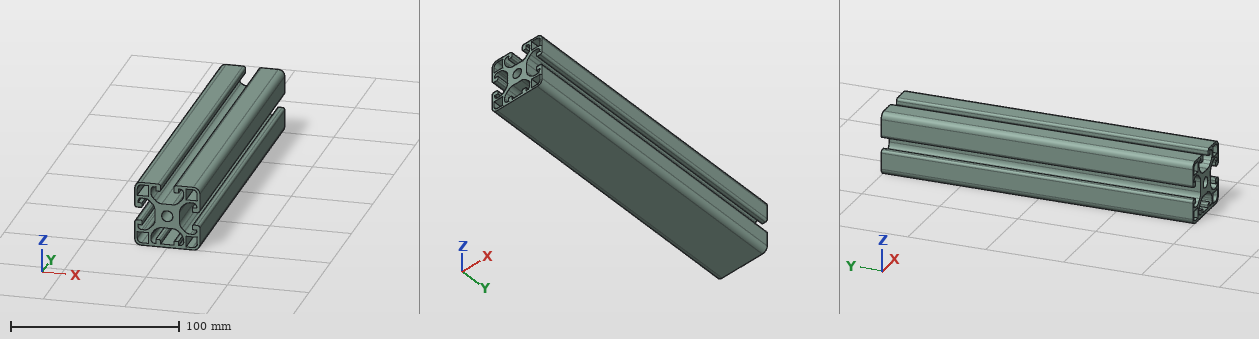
import cadquery as cq

LENGTH = 200.0
SIDE = 40.0
HALF = SIDE / 2
CORNER_RADIUS = 4.0
BORE_DIAMETER = 6.8

WALL = 2.0
MOUTH_HALF_WIDTH = 4.0
LIP_WIDTH = 3.0
LIP_DEPTH = 4.5
GROOVE_HALF_WIDTH = 10.0
CORE_HALF_WIDTH = 7.5
WEB_OFFSET = 2.2
LIP_TOP_RADIUS = 1.5
LIP_BOTTOM_RADIUS = 1.0
GROOVE_CORNER_RADIUS = 2.5
GROOVE_FLOOR_RADIUS = 5.0

CHAMBER_INNER = 11.5
CHAMBER_OUTER = 18.5
CHAMBER_CORNER_RADIUS = 2.8

CEILING = HALF - WALL
LIP_END = HALF - LIP_DEPTH
LIP_BACK = MOUTH_HALF_WIDTH + LIP_WIDTH
SLOPE_TOP = GROOVE_HALF_WIDTH + WEB_OFFSET
FLOOR_HALF_WIDTH = CORE_HALF_WIDTH - WEB_OFFSET


def at_points(x, z):
    """Selector for the lengthwise edges at (x, z) and its mirror image (-x, z)."""
    reach = 0.02
    selector = None
    for place in (x, -x):
        box = cq.selectors.BoxSelector(
            (place - reach, -LENGTH, z - reach), (place + reach, LENGTH, z + reach)
        )
        selector = box if selector is None else selector + box
    return selector


def extrude_outline(points):
    """Full-length prism of an XZ outline, centred along Y."""
    return cq.Workplane("XZ").polyline(points).close().extrude(LENGTH / 2, both=True)


def groove(is_open):
    """Space of the groove on the +Z side, open through the wall or closed by it."""
    mouth_end = HALF if is_open else CEILING
    right_half = [
        (FLOOR_HALF_WIDTH, CORE_HALF_WIDTH),
        (GROOVE_HALF_WIDTH, SLOPE_TOP),
        (GROOVE_HALF_WIDTH, CEILING),
        (LIP_BACK, CEILING),
        (LIP_BACK, LIP_END),
        (MOUTH_HALF_WIDTH, LIP_END),
        (MOUTH_HALF_WIDTH, mouth_end),
    ]
    left_half = [(-x, z) for x, z in reversed(right_half)]
    space = extrude_outline(right_half + left_half)
    roundings = [
        (FLOOR_HALF_WIDTH, CORE_HALF_WIDTH, GROOVE_FLOOR_RADIUS),
        (GROOVE_HALF_WIDTH, SLOPE_TOP, GROOVE_FLOOR_RADIUS),
        (GROOVE_HALF_WIDTH, CEILING, GROOVE_CORNER_RADIUS),
        (MOUTH_HALF_WIDTH, LIP_END, LIP_BOTTOM_RADIUS),
    ]
    for x, z, radius in roundings:
        space = space.edges(at_points(x, z)).fillet(radius)
    return space


def corner_chamber():
    """Hollow in the +X +Z corner, rounded on its outermost edge."""
    size = CHAMBER_OUTER - CHAMBER_INNER
    middle = (CHAMBER_INNER + CHAMBER_OUTER) / 2
    chamber = cq.Workplane("XY").box(size, LENGTH, size).edges(">X and >Z")
    return chamber.fillet(CHAMBER_CORNER_RADIUS).translate((middle, 0, middle))


def turned(body, quarter_turns):
    """Body turned about the profile axis by quarter turns, from +Z towards +X."""
    return body.rotate((0, 0, 0), (0, 1, 0), 90 * quarter_turns)


profile = cq.Workplane("XY").box(SIDE, LENGTH, SIDE).edges("|Y").fillet(CORNER_RADIUS)

CLOSED_SIDE = 2
for side in range(4):
    profile = profile.cut(turned(groove(is_open=side != CLOSED_SIDE), side))
    profile = profile.cut(turned(corner_chamber(), side))

for side in range(4):
    if side != CLOSED_SIDE:
        upright = turned(profile, -side)
        rounded = upright.edges(at_points(MOUTH_HALF_WIDTH, HALF)).fillet(LIP_TOP_RADIUS)
        profile = turned(rounded, side)

bore = cq.Workplane("XZ").circle(BORE_DIAMETER / 2).extrude(LENGTH / 2, both=True)
result = profile.cut(bore)